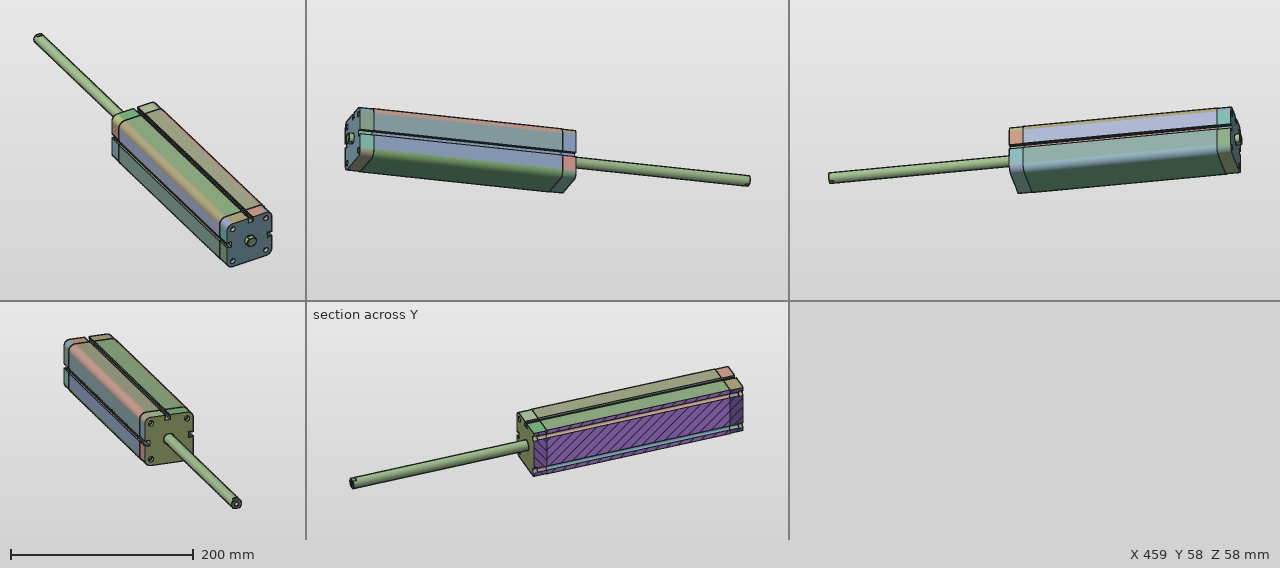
import cadquery as cq
import math

rod_front_reach = 206.0
rod_rear_reach = 6.0
cap_length = 15.5
tube_length = 216.0
tube_start = cap_length
rear_cap_start = tube_start + tube_length
body_end = rear_cap_start + cap_length
rod_length = rod_front_reach + body_end + rod_rear_reach

tube_width = 58.0
cap_width = 57.0
tube_corner_radius = 8.0
cap_corner_radius = 7.2

slot_offset = 1.8
slot_opening = 5.2
slot_inner_width = 6.6
slot_depth = 6.3
slot_lip = 3.0
slot_angles = (0, 90, -90)

screw_spacing = 42.2
screw_hole_diameter = 4.6
counterbore_diameter = 6.0
counterbore_depth = 5.0

rod_diameter = 12.0
bore_mouth_chamfer = 0.5
flat_gap = 10.0
front_flat_length = 4.5
rear_flat_length = 5.5
front_chamfer = 0.5
rear_chamfer = 0.7
thread_hole_diameter = 5.0
thread_hole_depth = 15.0
countersink_diameter = 6.0
drill_tip_angle = 118.0


def yz_plane(x):
    """Plane across the axis at x, with local x along +Y and local y along +Z."""
    return cq.Workplane("YZ", origin=(x, 0, 0))


def slot_cutter(x_start, length):
    """T-shaped bar for the slot in the +Z side."""
    tube_face = tube_width / 2
    lip_bottom = tube_face - slot_lip
    opening = (
        yz_plane(x_start)
        .center(slot_offset, tube_face - slot_depth / 2)
        .rect(slot_opening, slot_depth)
        .extrude(length)
    )
    channel_height = slot_depth - slot_lip
    channel = (
        yz_plane(x_start)
        .center(slot_offset, lip_bottom - channel_height / 2)
        .rect(slot_inner_width, channel_height)
        .extrude(length)
    )
    return opening.union(channel)


def profile_block(x_start, length, width, corner_radius):
    """Rounded square block with slots, screw holes and the bore for the rod."""
    block = yz_plane(x_start).rect(width, width).extrude(length)
    block = block.edges("|X").fillet(corner_radius)
    for angle in slot_angles:
        cutter = slot_cutter(x_start, length).rotate((0, 0, 0), (1, 0, 0), angle)
        block = block.cut(cutter)
    screw_holes = (
        yz_plane(x_start)
        .rect(screw_spacing, screw_spacing, forConstruction=True)
        .vertices()
        .circle(screw_hole_diameter / 2)
        .extrude(length)
    )
    rod_bore = yz_plane(x_start).circle(rod_diameter / 2).extrude(length)
    return block.cut(screw_holes).cut(rod_bore)


def end_cap(x_start, counterbore_start):
    """Cap with counterbored screw holes in its outer face."""
    counterbores = (
        yz_plane(counterbore_start)
        .rect(screw_spacing, screw_spacing, forConstruction=True)
        .vertices()
        .circle(counterbore_diameter / 2)
        .extrude(counterbore_depth)
    )
    return profile_block(x_start, cap_length, cap_width, cap_corner_radius).cut(counterbores)


def bore_mouth(x_start):
    """Cone that breaks the edge of the rod bore at x_start."""
    mouth_radius = rod_diameter / 2 + bore_mouth_chamfer
    return cq.Workplane(
        cq.Solid.makeCone(
            mouth_radius,
            rod_diameter / 2,
            bore_mouth_chamfer,
            pnt=cq.Vector(x_start, 0, 0),
            dir=cq.Vector(1, 0, 0),
        )
    )


def flat_cutter(x_start, length):
    """Blocks above and below the rod that leave two parallel flats."""
    blocks = yz_plane(x_start).rect(2 * rod_diameter, 2 * rod_diameter).extrude(length)
    return blocks.cut(yz_plane(x_start).rect(2 * rod_diameter, flat_gap).extrude(length))


def threaded_hole(x_start):
    """Countersunk hole along the rod axis with a conical end."""
    radius = thread_hole_diameter / 2
    countersink_radius = countersink_diameter / 2
    tip_length = radius / math.tan(math.radians(drill_tip_angle / 2))
    return (
        cq.Workplane("XY")
        .moveTo(x_start, 0)
        .lineTo(x_start, countersink_radius)
        .lineTo(x_start + countersink_radius - radius, radius)
        .lineTo(x_start + thread_hole_depth, radius)
        .lineTo(x_start + thread_hole_depth + tip_length, 0)
        .close()
        .revolve(360, (x_start, 0, 0), (x_start + 1, 0, 0))
    )


def piston_rod():
    """Through rod with flats at both ends and a threaded hole in the front end."""
    rod_start = -rod_front_reach
    rod_end = rod_start + rod_length
    rod = yz_plane(rod_start).circle(rod_diameter / 2).extrude(rod_length)
    rod = rod.faces(">X").chamfer(rear_chamfer)
    rod = rod.faces("<X").chamfer(front_chamfer)
    rod = rod.cut(flat_cutter(rod_start, front_flat_length))
    rod = rod.cut(flat_cutter(rod_end - rear_flat_length, rear_flat_length))
    return rod.cut(threaded_hole(rod_start))


tube = profile_block(tube_start, tube_length, tube_width, tube_corner_radius)
front_cap = end_cap(0, 0).cut(bore_mouth(0))
rear_cap = end_cap(rear_cap_start, body_end - counterbore_depth)
rod = piston_rod()

result = cq.Compound.makeCompound([tube.val(), front_cap.val(), rear_cap.val(), rod.val()])